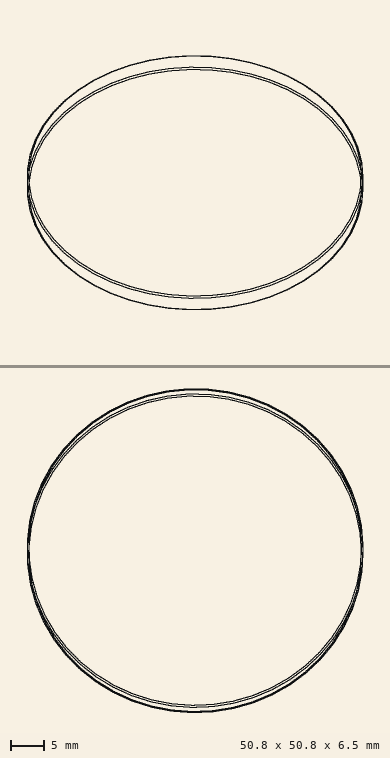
import cadquery as cq
import math

diameter = 50.8
center_thickness = 6.5
edge_thickness = 3.0
bevel = 0.25

rim_radius = diameter / 2
face_radius = rim_radius - bevel
apex_z = center_thickness / 2
face_edge_z = edge_thickness / 2
rim_z = face_edge_z - bevel

face_sag = apex_z - face_edge_z
sphere_radius = (face_radius**2 + face_sag**2) / (2 * face_sag)
sphere_center_z = apex_z - sphere_radius


def upper_face_z(radius):
    """Height of the upper spherical face at a distance from the optical axis."""
    return sphere_center_z + math.sqrt(sphere_radius**2 - radius**2)


def make_lens():
    """Revolve the half section of the lens about the optical axis."""
    mid_radius = face_radius / 2
    mid_z = upper_face_z(mid_radius)
    half_section = (
        cq.Workplane("YZ")
        .moveTo(0, -apex_z)
        .threePointArc((mid_radius, -mid_z), (face_radius, -face_edge_z))
        .lineTo(rim_radius, -rim_z)
        .lineTo(rim_radius, rim_z)
        .lineTo(face_radius, face_edge_z)
        .threePointArc((mid_radius, mid_z), (0, apex_z))
        .close()
    )
    return half_section.revolve(360, (0, 0, 0), (0, 1, 0))


result = make_lens()